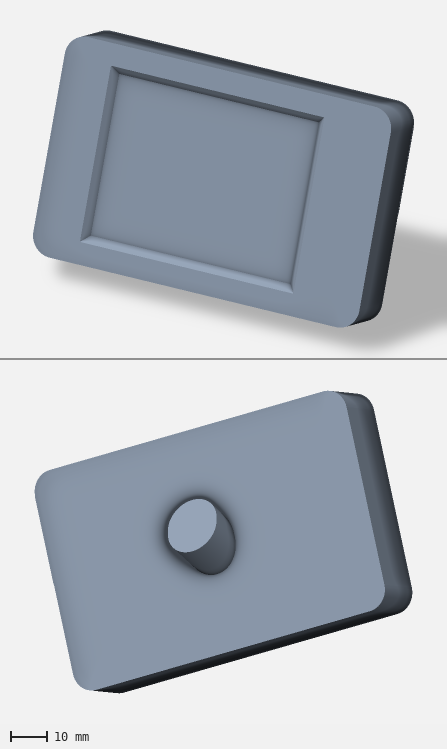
import cadquery as cq
import math

TILT_ANGLE = 25.0
OVERALL_WIDTH = 98.0
TAB_PROTRUSION = 0.1
CASE_WIDTH = OVERALL_WIDTH - TAB_PROTRUSION
CASE_HEIGHT = 62.4
CASE_THICKNESS = 17.1
CORNER_RADIUS = 6.0

WINDOW_WIDTH = 64.1
WINDOW_HEIGHT = 49.9
WINDOW_LEFT_MARGIN = 13.9
WINDOW_DEPTH = 2.1
WINDOW_SLOPE_WIDTH = 2.1
WINDOW_CENTER_X = WINDOW_LEFT_MARGIN + WINDOW_WIDTH / 2 - CASE_WIDTH / 2

SCREEN_WIDTH = WINDOW_WIDTH - 2 * WINDOW_SLOPE_WIDTH
SCREEN_HEIGHT = WINDOW_HEIGHT - 2 * WINDOW_SLOPE_WIDTH
SCREEN_THICKNESS = 2.0

STEM_HEIGHT = 16.5
STEM_FLAT_HEIGHT = 1.2
STEM_WIDTH = STEM_HEIGHT - STEM_FLAT_HEIGHT
STEM_CENTER_Z = -4.0
STEM_END_Y = 17.6

TAB_LENGTH = 24.9
TAB_THICKNESS = 0.5
TAB_CENTER_HEIGHT = 12.7


def tilted_plane(depth):
    """Plane parallel to the front of the case, `depth` behind it; its local Y runs up the slope."""
    angle = math.radians(TILT_ANGLE)
    outward_y = -math.cos(angle)
    outward_z = math.sin(angle)
    offset = CASE_THICKNESS / 2 - depth
    return cq.Plane(
        origin=(0, offset * outward_y, offset * outward_z),
        xDir=(1, 0, 0),
        normal=(0, outward_y, outward_z),
    )


def make_slab():
    """The plain rounded outline of the case, centered on the origin."""
    return (
        cq.Workplane(tilted_plane(CASE_THICKNESS))
        .rect(CASE_WIDTH, CASE_HEIGHT)
        .extrude(CASE_THICKNESS)
        .edges(cq.selectors.ParallelDirSelector(tilted_plane(0).zDir))
        .fillet(CORNER_RADIUS)
    )


def make_window():
    """The space of the window, narrowing from the front of the case to the screen."""
    return (
        cq.Workplane(tilted_plane(0))
        .center(WINDOW_CENTER_X, 0)
        .rect(WINDOW_WIDTH, WINDOW_HEIGHT)
        .workplane(offset=-WINDOW_DEPTH)
        .rect(SCREEN_WIDTH, SCREEN_HEIGHT)
        .loft(ruled=True)
    )


def make_screen():
    return (
        cq.Workplane(tilted_plane(WINDOW_DEPTH))
        .center(WINDOW_CENTER_X, 0)
        .rect(SCREEN_WIDTH, SCREEN_HEIGHT)
        .extrude(-SCREEN_THICKNESS)
    )


def make_stem(slab):
    """The stem starts inside the slab and is trimmed to meet its sloping back."""
    return (
        cq.Workplane("XZ", origin=(0, STEM_END_Y, STEM_CENTER_Z))
        .slot2D(STEM_HEIGHT, STEM_WIDTH, angle=90)
        .extrude(STEM_END_Y)
        .cut(slab)
    )


def make_tab():
    return (
        cq.Workplane(tilted_plane(CASE_THICKNESS))
        .center((CASE_WIDTH + TAB_PROTRUSION) / 2, TAB_CENTER_HEIGHT)
        .rect(TAB_PROTRUSION, TAB_LENGTH)
        .extrude(TAB_THICKNESS)
    )


slab = make_slab()
screen = make_screen()
case = slab.cut(make_window()).cut(screen)
stem = make_stem(slab)
tab = make_tab()

bodies = [case, screen, stem, tab]
result = cq.Compound.makeCompound([body.solids().val() for body in bodies])